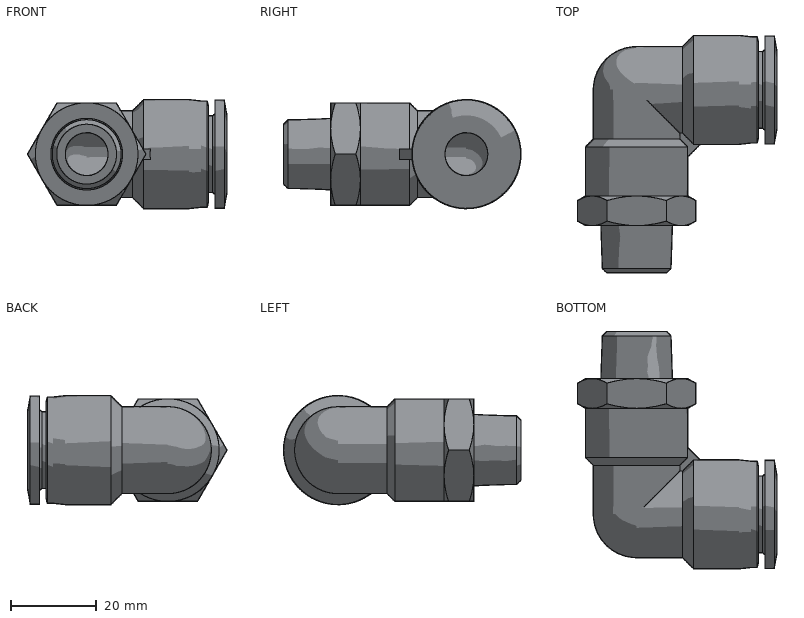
import cadquery as cq
import math

OVERALL_LENGTH = 55.55
ELBOW_RADIUS = 10.15
SOCKET_RADIUS = 12.8
BORE_RADIUS = 5.0

SLEEVE_RADIUS = 12.0
INLET_CONE_START = 11.45
INLET_CONE_END = INLET_CONE_START + SLEEVE_RADIUS - ELBOW_RADIUS
HEX_START = 24.8
HEX_END = 31.7
HEX_FLATS = 24.0
HEX_CORNERS = HEX_FLATS / math.cos(math.radians(30))
HEX_CHAMFER_ANGLE = 30.0
INLET_END = OVERALL_LENGTH - SOCKET_RADIUS
THREAD_ROOT_RADIUS = 8.4
THREAD_TIP_RADIUS = 8.05
THREAD_CHAMFER = 1.05

OUTLET_CONE_START = 10.7
OUTLET_CONE_END = OUTLET_CONE_START + SOCKET_RADIUS - ELBOW_RADIUS
SOCKET_TAPER_START = 23.95
SOCKET_TAPER_END = 26.85
SOCKET_TIP_RADIUS = 12.45
SOCKET_LIP_START = 28.15
SOCKET_END = 28.5
SOCKET_LIP_RADIUS = 11.3
NECK_RADIUS = 9.0
COLLAR_CONE_START = 29.45
COLLAR_CONE_RADIUS = 9.45
COLLAR_START = 29.95
COLLAR_RADIUS = 12.65
COLLAR_RIM_END = 32.15
OUTLET_END = 32.85
COLLAR_FACE_RADIUS = 9.0

WEB_THICKNESS = 2.5
WEB_REACH = 27.6


def leg(profile):
    """Turn (distance, radius) steps around the X axis into a solid leg."""
    start, end = profile[0][0], profile[-1][0]
    outline = [(start, 0), *profile, (end, 0)]
    return cq.Workplane("XY").polyline(outline).close().revolve(360, (0, 0, 0), (1, 0, 0))


def as_inlet(shape):
    """Swing a leg from +X to -Y."""
    return shape.rotate((0, 0, 0), (0, 0, 1), -90)


def hexagon():
    """Hexagon with conical chamfers that leave round faces as wide as the flats."""
    width = HEX_END - HEX_START
    corner_radius = HEX_CORNERS / 2
    face_radius = HEX_FLATS / 2
    drop = (corner_radius - face_radius) * math.tan(math.radians(HEX_CHAMFER_ANGLE))
    prism = cq.Workplane("XZ", origin=(0, -HEX_START, 0)).polygon(6, HEX_CORNERS).extrude(width)
    envelope = leg([
        (HEX_START, face_radius),
        (HEX_START + drop, corner_radius),
        (HEX_END - drop, corner_radius),
        (HEX_END, face_radius),
    ])
    return prism.intersect(as_inlet(envelope))


def inlet_leg():
    """Sleeve and tapered thread blank."""
    return as_inlet(leg([
        (0, ELBOW_RADIUS),
        (INLET_CONE_START, ELBOW_RADIUS),
        (INLET_CONE_END, SLEEVE_RADIUS),
        (HEX_END, SLEEVE_RADIUS),
        (HEX_END, THREAD_ROOT_RADIUS),
        (INLET_END - THREAD_CHAMFER, THREAD_TIP_RADIUS),
        (INLET_END, THREAD_TIP_RADIUS - THREAD_CHAMFER),
    ]))


def outlet_leg():
    """Tube socket, neck and release collar."""
    return leg([
        (0, ELBOW_RADIUS),
        (OUTLET_CONE_START, ELBOW_RADIUS),
        (OUTLET_CONE_END, SOCKET_RADIUS),
        (SOCKET_TAPER_START, SOCKET_RADIUS),
        (SOCKET_TAPER_END, SOCKET_TIP_RADIUS),
        (SOCKET_LIP_START, SOCKET_TIP_RADIUS),
        (SOCKET_END, SOCKET_LIP_RADIUS),
        (SOCKET_END, NECK_RADIUS),
        (COLLAR_CONE_START, NECK_RADIUS),
        (COLLAR_START, COLLAR_CONE_RADIUS),
        (COLLAR_START, COLLAR_RADIUS),
        (COLLAR_RIM_END, COLLAR_RADIUS),
        (OUTLET_END, COLLAR_FACE_RADIUS),
    ])


def web():
    """Sloping web, cut off inside the sleeve and the socket so it only fills the corner."""
    inner = ELBOW_RADIUS / 2
    tip = WEB_REACH - inner
    outline = [(inner, -inner), (tip, -inner), (inner, -tip)]
    return (cq.Workplane("XY", origin=(0, 0, -WEB_THICKNESS / 2))
            .polyline(outline).close().extrude(WEB_THICKNESS))


def bore():
    """Right-angled passage with a ball-shaped corner."""
    outlet = leg([(0, BORE_RADIUS), (OUTLET_END, BORE_RADIUS)])
    inlet = as_inlet(leg([(0, BORE_RADIUS), (INLET_END, BORE_RADIUS)]))
    return outlet.union(inlet).union(cq.Workplane("XY").sphere(BORE_RADIUS))


body = cq.Workplane("XY").sphere(ELBOW_RADIUS)
for piece in (inlet_leg(), outlet_leg(), hexagon(), web()):
    body = body.union(piece)

result = body.cut(bore())